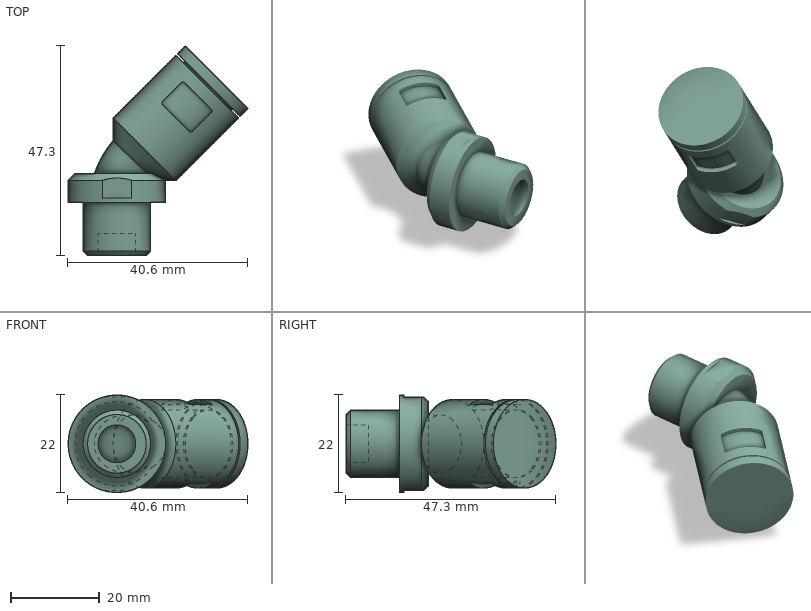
import cadquery as cq
import math


stub_diameter = 15.2
stub_length = 12.0
stub_chamfer = 1.0
bore_diameter = 8.5
bore_depth = 5.0

flange_diameter = 22.0
flange_thickness = 6.5
flange_chamfer = 1.5
flat_spacing = 21.0
flat_rim = 1.0

bend_angle = 45.0
neck_diameter = 13.0
bend_radius = 18.0
elbow_height = 5.75

body_diameter = 20.0
body_start = 8.8
body_length = 20.0
groove_diameter = 15.3
groove_width = 0.5
collar_thickness = 2.5
nose_tip_diameter = 12.6
nose_length = (body_diameter - nose_tip_diameter) / 2
body_end = body_start + body_length
collar_start = body_end + groove_width

recess_length = 7.0
recess_width = 9.5
recess_depth = 1.0
recess_corner_radius = 0.5
recess_centre = body_start + 13.5

nose_tip = body_start - nose_length
bend_start = elbow_height - bend_radius * math.tan(math.radians(bend_angle / 2))


def cylinder(diameter, start, length):
    """Cylinder along +Y, with its first face at y = start."""
    plane = cq.Plane(origin=(0, start, 0), xDir=(1, 0, 0), normal=(0, 1, 0))
    return cq.Workplane(plane).circle(diameter / 2).extrude(length)


def make_stub():
    stub = cylinder(stub_diameter, -stub_length, stub_length)
    return stub.faces("<Y").chamfer(stub_chamfer)


def make_flange():
    flange = cylinder(flange_diameter, 0, flange_thickness)
    flange = flange.faces(">Y").chamfer(flange_chamfer)
    flat_length = flange_thickness - flat_rim
    kept = cq.Workplane("XY").box(flange_diameter, flat_length, flat_spacing)
    kept = kept.translate((0, flat_rim + flat_length / 2, 0))
    rim = cylinder(flange_diameter, 0, flat_rim)
    return flange.intersect(kept.union(rim))


def make_neck():
    """Round bar bent from the +Y direction towards +X."""
    profile_plane = cq.Plane(origin=(0, bend_start, 0), xDir=(1, 0, 0), normal=(0, 1, 0))
    section = cq.Workplane(profile_plane).circle(neck_diameter / 2)
    return section.revolve(bend_angle, (bend_radius, 0, 0), (bend_radius, 1, 0))


def make_body():
    """Swivel body built along +Y from the crossing of the axes."""
    body_radius = body_diameter / 2
    groove_radius = groove_diameter / 2
    collar_end = collar_start + collar_thickness
    profile = (
        cq.Workplane("XY")
        .moveTo(0, nose_tip)
        .lineTo(nose_tip_diameter / 2, nose_tip)
        .lineTo(body_radius, body_start)
        .lineTo(body_radius, body_end)
        .lineTo(groove_radius, body_end)
        .lineTo(groove_radius, collar_start)
        .lineTo(body_radius, collar_start)
        .lineTo(body_radius, collar_end)
        .lineTo(0, collar_end)
        .close()
    )
    body = profile.revolve(360, (0, 0, 0), (0, 1, 0))
    return body.cut(make_recesses())


def make_recesses():
    """Two opposite recesses with a floor concentric to the body."""
    cutter = (
        cq.Workplane("XY")
        .box(recess_width, recess_length, body_diameter)
        .edges("|Z")
        .fillet(recess_corner_radius)
        .translate((0, recess_centre, 0))
    )
    core = cylinder(body_diameter - 2 * recess_depth, body_start, body_length)
    return cutter.cut(core)


def tilt(shape):
    """Swing a shape built along +Y from the origin onto the body axis."""
    turned = shape.rotate((0, 0, 0), (0, 0, 1), -bend_angle)
    return turned.translate((0, elbow_height, 0))


def make_bore():
    """Blind, flat-bottomed bore in the end of the stub."""
    return cylinder(bore_diameter, -stub_length, bore_depth)


fitting = make_stub().union(make_flange()).union(make_neck()).union(tilt(make_body()))
result = fitting.cut(make_bore())